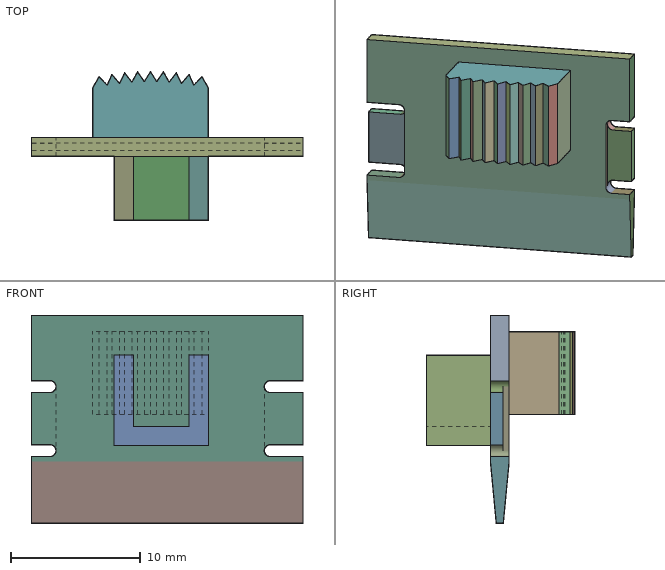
import cadquery as cq
import math

plate_width = 21.02
plate_height = 16.08
plate_thickness = 1.46
taper_height = 4.75
tip_thickness = 0.56

slot_width = 0.9
lower_slot_z = 5.62
slot_spacing = 4.95
left_slot_depth = 1.9
right_slot_depth = 3.0
recess_depth = 0.48

bracket_width = 7.29
bracket_height = 7.0
bracket_length = 4.95
bracket_wall = 1.5
bracket_right_x = 3.18
bracket_bottom_z = 6.0

block_width = 8.95
block_height = 6.42
block_length = 5.1
block_right_x = bracket_right_x
block_bottom_z = 8.4
shoulder_drop = 1.27
tip_radius = 20.0
tooth_depth = 0.77
tooth_pitch_angle = 0.05
teeth_each_side = 4


def make_plate():
    """Flat plate whose lower end tapers equally on both faces."""
    taper_inset = (plate_thickness - tip_thickness) / 2
    profile = [
        (0, plate_height),
        (0, taper_height),
        (taper_inset, 0),
        (plate_thickness - taper_inset, 0),
        (plate_thickness, taper_height),
        (plate_thickness, plate_height),
    ]
    return cq.Workplane("YZ").polyline(profile).close().extrude(plate_width / 2, both=True)


def make_edge_cut(side, depth):
    """Two round-ended slots and the back recess between them; side is -1 (left) or 1 (right)."""
    edge_x = side * plate_width / 2
    slots = (
        cq.Workplane("XZ")
        .pushPoints([(edge_x, lower_slot_z), (edge_x, lower_slot_z + slot_spacing)])
        .slot2D(2 * depth, slot_width)
        .extrude(-plate_thickness)
    )
    recess = (
        cq.Workplane("XZ", origin=(0, plate_thickness, 0))
        .center(edge_x, lower_slot_z + slot_spacing / 2)
        .rect(2 * depth, slot_spacing)
        .extrude(recess_depth)
    )
    return slots.union(recess)


def make_bracket():
    """U-shaped bracket, open at the top."""
    left_x = bracket_right_x - bracket_width
    outer = (
        cq.Workplane("XZ", origin=(left_x, 0, bracket_bottom_z))
        .rect(bracket_width, bracket_height, centered=False)
        .extrude(bracket_length)
    )
    opening = (
        cq.Workplane("XZ", origin=(left_x + bracket_wall, 0, bracket_bottom_z + bracket_wall))
        .rect(bracket_width - 2 * bracket_wall, bracket_height - bracket_wall, centered=False)
        .extrude(bracket_length)
    )
    return outer.cut(opening)


def make_toothed_block():
    """Block whose back side carries teeth spaced evenly around the tip arc."""
    center_x = block_right_x - block_width / 2
    back_y = plate_thickness + block_length
    arc_center_y = back_y - tip_radius
    shoulder_y = back_y - shoulder_drop

    outline = [
        (center_x - block_width / 2, plate_thickness),
        (center_x - block_width / 2, shoulder_y),
    ]
    last_step = 2 * teeth_each_side
    for step in range(-last_step, last_step + 1):
        angle = step * tooth_pitch_angle / 2
        radius = tip_radius if step % 2 == 0 else tip_radius - tooth_depth
        outline.append((center_x + radius * math.sin(angle), arc_center_y + radius * math.cos(angle)))
    outline += [
        (center_x + block_width / 2, shoulder_y),
        (center_x + block_width / 2, plate_thickness),
    ]
    return (
        cq.Workplane("XY", origin=(0, 0, block_bottom_z))
        .polyline(outline)
        .close()
        .extrude(block_height)
    )


plate = make_plate()
plate = plate.cut(make_edge_cut(-1, left_slot_depth))
plate = plate.cut(make_edge_cut(1, right_slot_depth))
result = plate.union(make_bracket()).union(make_toothed_block())